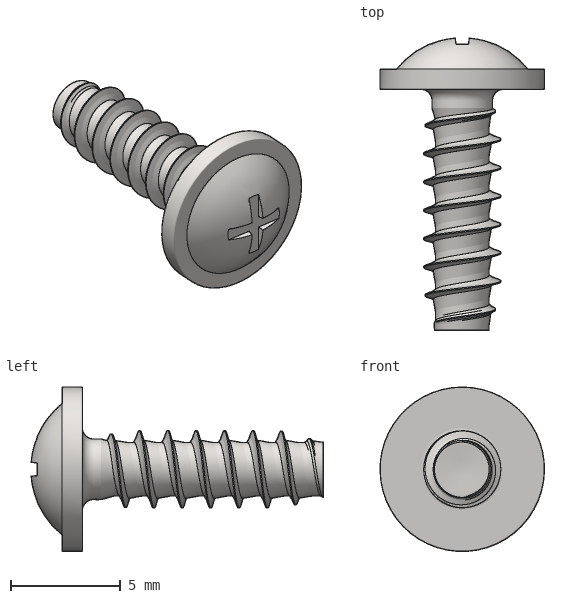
import cadquery as cq
import math


ARC_MID_INSET = 1 - math.sqrt(0.5)

TOTAL_LENGTH = 13.33
FLANGE_DIAMETER = 7.5
FLANGE_RADIUS = FLANGE_DIAMETER / 2
FLANGE_THICKNESS = 0.93
FLANGE_EDGE_RADIUS = 0.05
DOME_BASE_RADIUS = 3.0
DOME_HEIGHT = 1.44
SLOT_FLOOR_WIDTH = 0.56
SLOT_MOUTH_WIDTH = 0.64
SLOT_DEPTH = 0.3

DOME_SPHERE_RADIUS = (DOME_BASE_RADIUS**2 + DOME_HEIGHT**2) / (2 * DOME_HEIGHT)
CROWN_LOSS = DOME_SPHERE_RADIUS - math.sqrt(DOME_SPHERE_RADIUS**2 - SLOT_MOUTH_WIDTH**2 / 2)
DOME_TOP = FLANGE_THICKNESS + DOME_HEIGHT
SHANK_LENGTH = TOTAL_LENGTH - (DOME_TOP - CROWN_LOSS)

NECK_RADIUS = 1.39
NECK_FILLET = 0.49
NECK_LENGTH = 0.85
NECK_TAPER_LENGTH = 0.57
CORE_RADIUS = 1.23
TIP_DISH_RADIUS = 1.16
TIP_DISH_DEPTH = 0.08

PITCH = 1.29
FIRST_CREST_DEPTH = 0.99
START_TURN = -0.75
END_TURN = 8.25
FADE_START_TURN = -0.5
FADE_END_TURN = 7.5
RUNOUT_TURNS = 1.5
SEGMENTS_PER_TURN = 2
POINTS_PER_SEGMENT = 8

THREAD_RADIUS = 1.76
CREST_HALF_WIDTH = 0.03
KNEE_RADIUS = 1.45
HEAD_KNEE_OFFSET = 0.13
TIP_KNEE_OFFSET = 0.1
SHOULDER_RADIUS = 1.33
SHOULDER_OFFSET = 0.17
FADED_RADIUS = 1.28
HEAD_ROOT_OFFSET = 0.27
TAPER_END_OFFSET = 0.83
ROOT_RADIUS = CORE_RADIUS - 0.01
BURIED_RADIUS = 1.17

THREAD_SECTION = [
    (-HEAD_ROOT_OFFSET, BURIED_RADIUS, BURIED_RADIUS),
    (-HEAD_ROOT_OFFSET, ROOT_RADIUS, ROOT_RADIUS),
    (-HEAD_KNEE_OFFSET, CORE_RADIUS, KNEE_RADIUS),
    (-CREST_HALF_WIDTH, FADED_RADIUS, THREAD_RADIUS),
    (CREST_HALF_WIDTH, FADED_RADIUS, THREAD_RADIUS),
    (TIP_KNEE_OFFSET, FADED_RADIUS, KNEE_RADIUS),
    (SHOULDER_OFFSET, FADED_RADIUS, SHOULDER_RADIUS),
    (TAPER_END_OFFSET, ROOT_RADIUS, ROOT_RADIUS),
    (TAPER_END_OFFSET, BURIED_RADIUS, BURIED_RADIUS),
]


def make_body():
    """Head, neck and core as one profile (radius, Y) revolved about the Y axis."""
    sphere_centre = DOME_TOP - DOME_SPHERE_RADIUS
    mid_angle = 0.5 * math.acos((FLANGE_THICKNESS - sphere_centre) / DOME_SPHERE_RADIUS)
    dome_mid = (
        DOME_SPHERE_RADIUS * math.sin(mid_angle),
        sphere_centre + DOME_SPHERE_RADIUS * math.cos(mid_angle),
    )
    fillet_reach = NECK_FILLET * ARC_MID_INSET
    edge_reach = FLANGE_EDGE_RADIUS * ARC_MID_INSET
    flat_radius = FLANGE_RADIUS - FLANGE_EDGE_RADIUS
    rim = FLANGE_RADIUS - edge_reach
    profile = (
        cq.Workplane("ZY")
        .moveTo(0, DOME_TOP)
        .threePointArc(dome_mid, (DOME_BASE_RADIUS, FLANGE_THICKNESS))
        .lineTo(flat_radius, FLANGE_THICKNESS)
        .threePointArc(
            (rim, FLANGE_THICKNESS - edge_reach),
            (FLANGE_RADIUS, FLANGE_THICKNESS - FLANGE_EDGE_RADIUS),
        )
        .lineTo(FLANGE_RADIUS, FLANGE_EDGE_RADIUS)
        .threePointArc((rim, edge_reach), (flat_radius, 0))
        .lineTo(NECK_RADIUS + NECK_FILLET, 0)
        .threePointArc((NECK_RADIUS + fillet_reach, -fillet_reach), (NECK_RADIUS, -NECK_FILLET))
        .lineTo(NECK_RADIUS, -NECK_LENGTH)
        .lineTo(CORE_RADIUS, -NECK_LENGTH - NECK_TAPER_LENGTH)
        .lineTo(CORE_RADIUS, -SHANK_LENGTH)
        .lineTo(TIP_DISH_RADIUS, -SHANK_LENGTH)
        .lineTo(0, -SHANK_LENGTH + TIP_DISH_DEPTH)
        .close()
    )
    return profile.revolve(360, (0, 0, 0), (0, 1, 0))


def thread_height(turn):
    """Share of the full tooth height, fading to zero along both runouts."""
    travel = min(turn - FADE_START_TURN, FADE_END_TURN - turn, RUNOUT_TURNS)
    return math.sin(math.pi / 2 * max(travel, 0) / RUNOUT_TURNS)


def thread_edge(first_turn, offset, faded_radius, full_radius):
    """Helical edge over one segment; its radius grows with the tooth height."""
    points = []
    for i in range(POINTS_PER_SEGMENT + 1):
        turn = first_turn + i / (POINTS_PER_SEGMENT * SEGMENTS_PER_TURN)
        angle = 2 * math.pi * turn
        radius = faded_radius + (full_radius - faded_radius) * thread_height(turn)
        depth = FIRST_CREST_DEPTH + PITCH * turn + offset
        points.append(cq.Vector(radius * math.cos(angle), -depth, radius * math.sin(angle)))
    return cq.Edge.makeSpline(points)


def end_cap(edges, position):
    """Flat face across the thread section at the start (0) or end (1) of its edges."""
    ring = [edge.positionAt(position) for edge in edges]
    return cq.Face.makeFromWires(cq.Wire.makePolygon(ring, close=True))


def make_thread():
    """Right-handed tooth with a core taper behind it, cut off flush with the tip."""
    segment_count = round((END_TURN - START_TURN) * SEGMENTS_PER_TURN)
    faces = []
    for i in range(segment_count):
        first_turn = START_TURN + i / SEGMENTS_PER_TURN
        edges = [thread_edge(first_turn, *corner) for corner in THREAD_SECTION]
        if i == 0:
            faces.append(end_cap(edges, 0))
        faces += [cq.Face.makeRuledSurface(a, b) for a, b in zip(edges, edges[1:] + edges[:1])]
    faces.append(end_cap(edges, 1))
    thread = cq.Workplane(cq.Solid.makeSolid(cq.Shell.makeShell(faces)))
    beyond_tip = (
        cq.Workplane("XZ", origin=(0, -SHANK_LENGTH, 0)).circle(2 * THREAD_RADIUS).extrude(2 * PITCH)
    )
    return thread.cut(beyond_tip)


def make_slots():
    """Two crossed slots with slightly flared walls over the crown of the dome."""
    slot = (
        cq.Workplane("XY")
        .moveTo(-SLOT_MOUTH_WIDTH / 2, DOME_TOP)
        .lineTo(-SLOT_FLOOR_WIDTH / 2, DOME_TOP - SLOT_DEPTH)
        .lineTo(SLOT_FLOOR_WIDTH / 2, DOME_TOP - SLOT_DEPTH)
        .lineTo(SLOT_MOUTH_WIDTH / 2, DOME_TOP)
        .close()
        .extrude(DOME_BASE_RADIUS, both=True)
    )
    return slot.union(slot.rotate((0, 0, 0), (0, 1, 0), 90))


result = make_body().cut(make_slots()).union(make_thread())